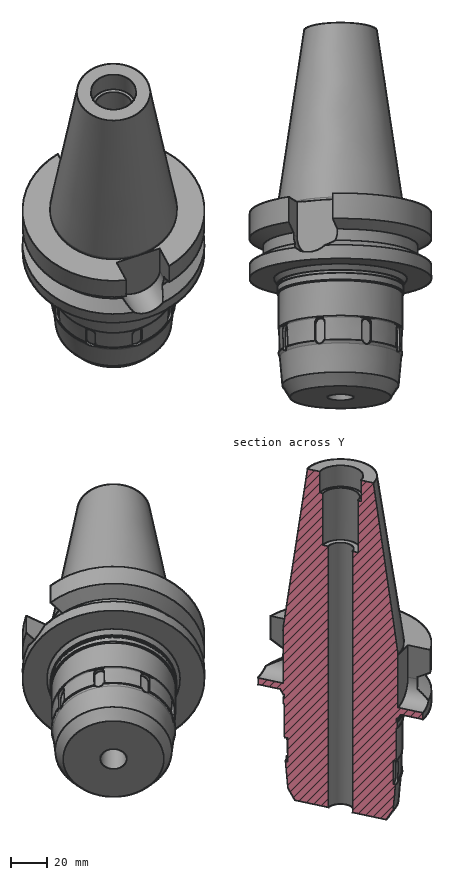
import cadquery as cq

total_height = 206.8

taper_ratio = 7 / 24
gauge_radius = 35.0
gauge_z = 105.0
shank_tip_radius = gauge_radius - (total_height - gauge_z) * taper_ratio / 2

flange_radius = 50.0
flange_top_z = 103.6
flange_bottom_z = 66.8
groove_radius = 42.5
groove_center_z = 81.9
groove_floor_width = 6.5
groove_mouth_width = 14.9

drive_slot_count = 2
drive_slot_half_width = 12.8
drive_slot_floor_x = 35.0
drive_slot_bottom_z = 71.1

flare_radius = 36.6
flare_bottom_z = 64.0
collar_radius = 34.7
collar_top_z = 62.2
collar_bottom_z = 58.0
edge_chamfer = 0.6

nut_radius = 34.1
band_top_z = 38.3
band_top_radius = 34.0
band_bottom_z = 24.8
band_bottom_radius = 33.5
rim_bottom_z = 23.0
rim_bottom_radius = 33.5
nose_edge_z = 6.8
nose_edge_radius = 32.0
nose_tip_radius = 27.7

wrench_slot_count = 8
wrench_slot_width = 5.8
wrench_slot_bottom_z = 23.2
wrench_slot_top_z = 37.5
wrench_slot_floor_radius = 32.0

counterbore_radius = 12.5
counterbore_depth = 13.0
thread_bore_radius = 10.5
thread_bore_depth = 45.0
through_bore_radius = 7.2


def make_body():
    """Revolve the outer profile, drawn as radius against Z, about the Z axis."""
    groove_floor_half = groove_floor_width / 2
    groove_mouth_half = groove_mouth_width / 2
    profile = (
        cq.Workplane("XZ")
        .moveTo(0, 0)
        .lineTo(nose_tip_radius, 0)
        .lineTo(nose_edge_radius, nose_edge_z)
        .lineTo(rim_bottom_radius, rim_bottom_z)
        .lineTo(nut_radius, band_bottom_z)
        .lineTo(band_bottom_radius, band_bottom_z)
        .lineTo(band_top_radius, band_top_z - edge_chamfer)
        .lineTo(nut_radius, band_top_z)
        .lineTo(nut_radius, collar_bottom_z)
        .lineTo(collar_radius, collar_bottom_z + edge_chamfer)
        .lineTo(collar_radius, collar_top_z)
        .lineTo(nut_radius, collar_top_z)
        .lineTo(nut_radius, flare_bottom_z)
        .lineTo(collar_radius, flare_bottom_z)
        .lineTo(flare_radius, flange_bottom_z)
        .lineTo(flange_radius, flange_bottom_z)
        .lineTo(flange_radius, groove_center_z - groove_mouth_half)
        .lineTo(groove_radius, groove_center_z - groove_floor_half)
        .lineTo(groove_radius, groove_center_z + groove_floor_half)
        .lineTo(flange_radius, groove_center_z + groove_mouth_half)
        .lineTo(flange_radius, flange_top_z)
        .lineTo(gauge_radius, flange_top_z)
        .lineTo(gauge_radius, gauge_z)
        .lineTo(shank_tip_radius, total_height)
        .lineTo(0, total_height)
        .close()
    )
    return profile.revolve(360, (0, 0, 0), (0, 1, 0))


def make_drive_slot():
    """Round-bottomed slot on the +X side, open at the top of the flange."""
    arc_center_z = drive_slot_bottom_z + drive_slot_half_width
    return (
        cq.Workplane("YZ", origin=(drive_slot_floor_x, 0, 0))
        .moveTo(-drive_slot_half_width, flange_top_z)
        .lineTo(-drive_slot_half_width, arc_center_z)
        .threePointArc((0, drive_slot_bottom_z), (drive_slot_half_width, arc_center_z))
        .lineTo(drive_slot_half_width, flange_top_z)
        .close()
        .extrude(flange_radius - drive_slot_floor_x)
    )


def make_wrench_slot():
    """Upright slot with full-round ends and a flat floor, on the +X side of the nut."""
    slot_center_z = (wrench_slot_bottom_z + wrench_slot_top_z) / 2
    slot_length = wrench_slot_top_z - wrench_slot_bottom_z
    return (
        cq.Workplane("YZ", origin=(wrench_slot_floor_radius, 0, slot_center_z))
        .slot2D(slot_length, wrench_slot_width, 90)
        .extrude(collar_radius - wrench_slot_floor_radius)
    )


def bore_from_shank(radius, depth):
    """Cylinder sunk into the shank end to the given depth."""
    return cq.Workplane("XY", origin=(0, 0, total_height - depth)).circle(radius).extrude(depth)


def cut_around_axis(body, cutter, count):
    """Cut evenly spaced copies of the cutter around the Z axis."""
    for index in range(count):
        body = body.cut(cutter.rotate((0, 0, 0), (0, 0, 1), index * 360 / count))
    return body


result = make_body()
result = cut_around_axis(result, make_drive_slot(), drive_slot_count)
result = cut_around_axis(result, make_wrench_slot(), wrench_slot_count)
result = result.cut(bore_from_shank(counterbore_radius, counterbore_depth))
result = result.cut(bore_from_shank(thread_bore_radius, thread_bore_depth))
result = result.cut(bore_from_shank(through_bore_radius, total_height))